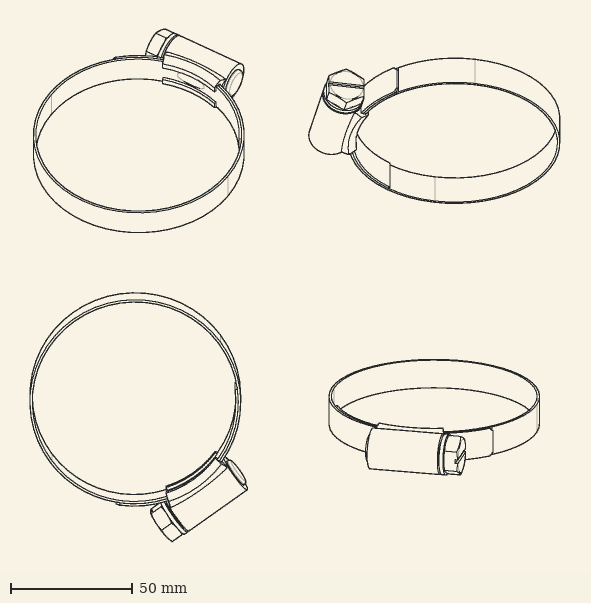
import cadquery as cq
import math

overall_length = 101.9
loop_radius = 43.46
band_thickness = 1.0
band_width = 12.2
outer_tail_angle = -46.0
inner_tail_angle = 61.5
tail_corner = 1.5
seam_gap = 0.02
overlap_shift = -band_thickness / 2
overlap_radius = loop_radius - band_thickness / 2

barrel_radius = 8.51
barrel_start = -15.0
barrel_end = 14.8
axis_y = overall_length - loop_radius - barrel_radius

saddle_half_angle = 18.0
saddle_inner_radius = 40.8
saddle_crest_radius = 43.9
saddle_crest_half_width = 8.4
saddle_top_radius = 46.9
saddle_top_half_width = 6.9
lip_half_gap = 3.6

head_start = -23.4
collar_start = -17.3
collar_end = -15.7
screw_end = 16.2
head_corner_radius = barrel_radius
head_face_radius = 6.9
head_chamfer = 0.5
collar_radius = barrel_radius
neck_radius = 6.5
shank_radius = 6.0
tip_fillet = 1.0
slot_width = 1.5
slot_depth = 1.1


def polar(radius, angle, center_x=0.0):
    """Point at a clockwise angle in degrees from +Y."""
    a = math.radians(angle)
    return (center_x + radius * math.sin(a), radius * math.cos(a))


def band_arc(inner_radius, start, end, center_x, thickness=band_thickness):
    """A stretch of band that follows one circular arc."""
    outer_radius = inner_radius + thickness
    middle = (start + end) / 2
    return (
        cq.Workplane("XY")
        .workplane(offset=-band_width / 2)
        .moveTo(*polar(inner_radius, start, center_x))
        .threePointArc(polar(inner_radius, middle, center_x), polar(inner_radius, end, center_x))
        .lineTo(*polar(outer_radius, end, center_x))
        .threePointArc(polar(outer_radius, middle, center_x), polar(outer_radius, start, center_x))
        .close()
        .extrude(band_width)
    )


def make_band():
    lower_loop = band_arc(loop_radius - band_thickness, 90, 270, 0)
    inner_layer = band_arc(overlap_radius - band_thickness, -90, inner_tail_angle, overlap_shift)
    outer_layer = band_arc(overlap_radius, outer_tail_angle, 90, overlap_shift)
    tail_tip = cq.selectors.NearestToPointSelector(
        (*polar(overlap_radius + band_thickness / 2, outer_tail_angle, overlap_shift), 0)
    )
    outer_layer = outer_layer.faces(tail_tip).edges("#Z").edges(">Z or <Z").chamfer(tail_corner)
    seam = band_arc(
        overlap_radius - seam_gap / 2, outer_tail_angle, inner_tail_angle, overlap_shift, seam_gap
    )
    return lower_loop.union(inner_layer).union(outer_layer).cut(seam)


def make_saddle():
    """Sector revolved about the loop axis, with sloping sides and a gap between its lips."""
    half_profile = [
        (saddle_inner_radius, lip_half_gap),
        (saddle_inner_radius, band_width / 2),
        (saddle_crest_radius, saddle_crest_half_width),
        (saddle_top_radius, saddle_top_half_width),
    ]
    recess_radius = overlap_radius - band_thickness / 2
    recess = [(recess_radius, lip_half_gap), (recess_radius, -lip_half_gap)]
    mirrored = [(radius, -z) for radius, z in reversed(half_profile)]
    profile = half_profile + mirrored + list(reversed(recess))
    return (
        cq.Workplane("XZ")
        .polyline(profile)
        .close()
        .revolve(2 * saddle_half_angle, (0, 0, 0), (0, 1, 0))
        .rotate((0, 0, 0), (0, 0, 1), 90 - saddle_half_angle)
    )


def rod(radius, start, end):
    """Cylinder on the screw axis."""
    return cq.Workplane("YZ", origin=(start, axis_y, 0)).circle(radius).extrude(end - start)


def make_housing():
    barrel = rod(barrel_radius, barrel_start, barrel_end)
    bore = rod(shank_radius, barrel_start, barrel_end)
    return make_band().union(make_saddle()).union(barrel).cut(bore)


def make_head():
    length = collar_start - head_start
    hexagon = (
        cq.Workplane("YZ", origin=(head_start, axis_y, 0))
        .polygon(6, 2 * head_corner_radius)
        .extrude(length)
        .rotate((0, axis_y, 0), (1, axis_y, 0), 90)
    )
    corner_trim = (
        rod(head_corner_radius, head_start, collar_start)
        .faces("<X or >X")
        .chamfer(head_chamfer, head_corner_radius - head_face_radius)
    )
    slot = cq.Workplane("XY").box(2 * slot_depth, 2 * head_corner_radius, slot_width)
    return hexagon.intersect(corner_trim).cut(slot.translate((head_start, axis_y, 0)))


def make_screw():
    collar = rod(collar_radius, collar_start, collar_end)
    neck = rod(neck_radius, collar_end, barrel_start)
    shank = rod(shank_radius, barrel_start, screw_end).faces(">X").edges().fillet(tip_fillet)
    return make_head().union(collar).union(neck).union(shank)


housing = make_housing()
screw = make_screw()
result = cq.Compound.makeCompound([housing.val(), screw.val()])